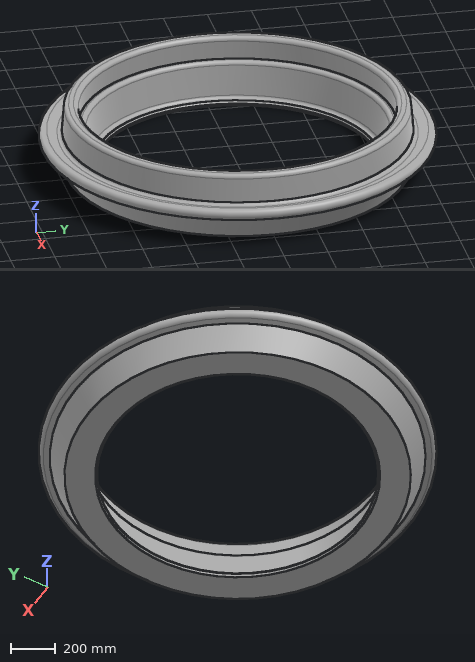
import cadquery as cq
import math

outer_radius = 1770 / 2
total_height = 300

flange_round = 27.0
flange_center_height = 149.0
flange_upper_slope = 19
flange_lower_slope = 12.4
flange_foot_radius = 835.0
wall_foot_radius = 784.0
wall_top_radius = 772.0
flange_neck_fillet = 16.0

rim_outer_radius = 1500.0 / 2
rim_inner_radius = 1460.0 / 2
rim_round = 21.0
bore_radius = rim_inner_radius - rim_round

shoulder_height = 117.0
spigot_height = 195
base_foot_radius = 770.0
mouth_radius = 680.0
mouth_round = 21.0
throat_radius = 653.0
lip_height = 25.0
lip_outer_radius = 634.0
lip_bore_radius = 1250.0 / 2
lip_fillet = 18.0


def revolve_outline(outline):
    """Close an outline drawn in radius and height, and revolve it about Z."""
    return outline.close().revolve(360, (0, 0, 0), (0, 1, 0))


def round_corner(body, corner, size):
    """Fillet the circular edge that passes through the given outline corner."""
    radius, height = corner
    circles = [
        e for e in body.edges("%CIRCLE").vals()
        if abs(e.radius() - radius) < 0.2 and abs(e.Center().z - height) < 0.2
    ]
    return cq.Workplane(body.val().fillet(size, circles))


def tip_point(angle):
    """Point on the round flange tip, at an angle in degrees above the outward direction."""
    turn = math.radians(angle)
    return (
        outer_radius - flange_round + flange_round * math.cos(turn),
        flange_center_height + flange_round * math.sin(turn),
    )


def make_flanged_ring():
    """Upper ring: tapered wall, rounded rim and a flange with sloping faces."""
    upper_tip = tip_point(90 + flange_upper_slope)
    lower_tip = tip_point(flange_lower_slope - 90)
    neck_drop = (upper_tip[0] - wall_foot_radius) * math.tan(math.radians(flange_upper_slope))
    neck = (wall_foot_radius, upper_tip[1] - neck_drop)
    outer_rim = (wall_top_radius, total_height)
    inner_rim = (bore_radius, total_height)
    outline = (
        cq.Workplane("XZ")
        .moveTo(bore_radius, shoulder_height)
        .lineTo(flange_foot_radius, shoulder_height)
        .lineTo(*lower_tip)
        .threePointArc(tip_point(0), upper_tip)
        .lineTo(*neck)
        .lineTo(*outer_rim)
        .lineTo(*inner_rim)
    )
    ring = revolve_outline(outline)
    ring = round_corner(ring, neck, flange_neck_fillet)
    ring = round_corner(ring, outer_rim, wall_top_radius - rim_outer_radius)
    return round_corner(ring, inner_rim, rim_round)


def make_base_ring():
    """Lower ring: conical outside, with a spigot that fits the flanged ring's bore."""
    mouth = (mouth_radius, spigot_height)
    throat = (throat_radius, lip_height)
    outline = cq.Workplane("XZ").polyline([
        (lip_outer_radius, 0),
        (base_foot_radius, 0),
        (flange_foot_radius, shoulder_height),
        (bore_radius, shoulder_height),
        (bore_radius, spigot_height),
        mouth,
        throat,
        (lip_outer_radius, lip_height),
        (lip_bore_radius, lip_height / 2),
    ])
    ring = revolve_outline(outline)
    ring = round_corner(ring, mouth, mouth_round)
    return round_corner(ring, throat, lip_fillet)


flanged_ring = make_flanged_ring()
base_ring = make_base_ring()

result = cq.Compound.makeCompound([flanged_ring.val(), base_ring.val()])